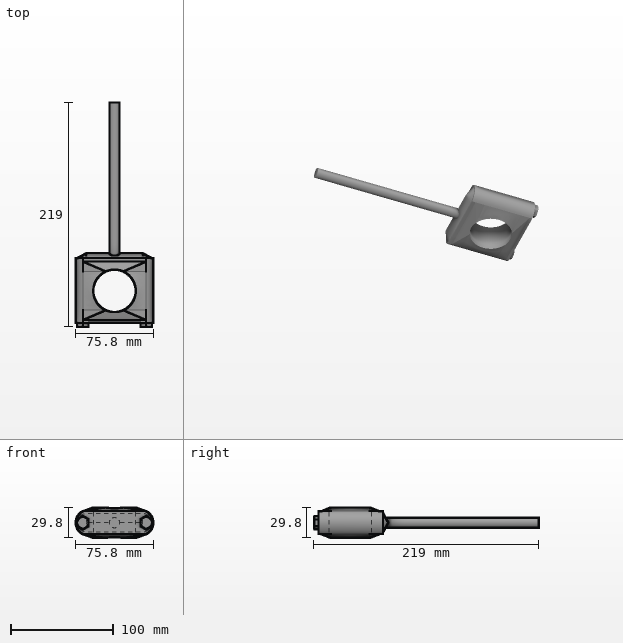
import cadquery as cq
import math

block_width = 75.8
block_length = 62.2
block_height = 22.3
flat_width = 61.8
hole_radius = 20.5

overall_height = 29.8
pad_length = 57.0
rim_corner_y = 18.8

end_plate_thickness = 0.9
roof_rise = 5.0
roof_base_height = 18.5
ridge_length = 53.9

overall_length = 219.0
rod_radius = 5.0
bolt_spacing = 61.8
bolt_head_height = 4.2
bolt_across_flats = 11.5
bolt_chamfer_height = 0.5

half_width = block_width / 2
half_length = block_length / 2
half_height = block_height / 2
half_flat = flat_width / 2
half_pad = pad_length / 2
roof_base_y = half_length + end_plate_thickness
rim_corner_x = math.sqrt(hole_radius**2 - rim_corner_y**2)


def extruded_outline(start_y, end_y):
    """The flat-topped, round-sided block section, extruded along Y."""
    return (
        cq.Workplane("XZ", origin=(0, start_y, 0))
        .moveTo(-half_flat, -half_height)
        .lineTo(half_flat, -half_height)
        .threePointArc((half_width, 0), (half_flat, half_height))
        .lineTo(-half_flat, half_height)
        .threePointArc((-half_width, 0), (-half_flat, -half_height))
        .close()
        .extrude(start_y - end_y)
    )


def planar_face(points):
    return cq.Face.makeFromWires(cq.Wire.makePolygon(points, close=True))


def make_pad():
    """Top pad blending from a rectangular foot to the round rim of the hole."""
    foot_z = half_height
    rim_z = overall_height / 2

    foot = [(-half_flat, -half_pad), (half_flat, -half_pad), (half_flat, half_pad), (-half_flat, half_pad)]
    faces = [planar_face([cq.Vector(x, y, foot_z) for x, y in foot])]
    rim_edges = []

    for side in (-1, 1):
        end_corners = [
            cq.Vector(-half_flat, side * half_pad, foot_z),
            cq.Vector(half_flat, side * half_pad, foot_z),
            cq.Vector(rim_corner_x, side * rim_corner_y, rim_z),
            cq.Vector(-rim_corner_x, side * rim_corner_y, rim_z),
        ]
        faces.append(planar_face(end_corners))
        rim_edges.append(cq.Edge.makeLine(end_corners[2], end_corners[3]))

        foot_edge = cq.Edge.makeLine(
            cq.Vector(side * half_flat, -rim_corner_y, foot_z),
            cq.Vector(side * half_flat, rim_corner_y, foot_z),
        )
        rim_arc = cq.Edge.makeThreePointArc(
            cq.Vector(side * rim_corner_x, -rim_corner_y, rim_z),
            cq.Vector(side * hole_radius, 0, rim_z),
            cq.Vector(side * rim_corner_x, rim_corner_y, rim_z),
        )
        faces.append(cq.Face.makeRuledSurface(foot_edge, rim_arc))
        rim_edges.append(rim_arc)

        for end in (-1, 1):
            triangle = [
                cq.Vector(side * half_flat, end * half_pad, foot_z),
                cq.Vector(side * half_flat, end * rim_corner_y, foot_z),
                cq.Vector(side * rim_corner_x, end * rim_corner_y, rim_z),
            ]
            faces.append(planar_face(triangle))

    faces.append(cq.Face.makeFromWires(cq.Wire.assembleEdges(rim_edges)))
    pad = cq.Solid.makeSolid(cq.Shell.makeShell(faces)).fix()
    return cq.Workplane(obj=pad)


def make_roof():
    """Ridged roof on the +Y end plate, closed by a half cone at each end of the ridge."""
    base_radius = roof_base_height / 2
    ridge_y = roof_base_y + roof_rise
    roof = (
        cq.Workplane("YZ")
        .polyline([(roof_base_y, -base_radius), (ridge_y, 0), (roof_base_y, base_radius)])
        .close()
        .extrude(ridge_length / 2, both=True)
    )
    for ridge_x in (-ridge_length / 2, ridge_length / 2):
        base_center = cq.Vector(ridge_x, roof_base_y, 0)
        cone = cq.Solid.makeCone(base_radius, 0, roof_rise, base_center, cq.Vector(0, 1, 0))
        roof = roof.union(cq.Workplane(obj=cone))
    return roof


def make_rod():
    rod_end_y = overall_length - half_length - bolt_head_height
    return (
        cq.Workplane("XZ", origin=(0, roof_base_y, 0))
        .circle(rod_radius)
        .extrude(roof_base_y - rod_end_y)
    )


def make_bolt_head(center_x):
    """Hexagonal head with chamfered corners and two flats facing the block sides."""
    corner_radius = bolt_across_flats / math.sqrt(3)
    angles = [math.radians(30 + 60 * corner) for corner in range(6)]
    hexagon = [(corner_radius * math.cos(a), corner_radius * math.sin(a)) for a in angles]
    seat = cq.Workplane("XZ", origin=(center_x, -half_length, 0))
    hex_head = seat.polyline(hexagon).close().extrude(bolt_head_height)
    chamfer_width = corner_radius - bolt_across_flats / 2
    chamfered_disc = (
        seat.circle(corner_radius)
        .extrude(bolt_head_height)
        .faces("<Y")
        .chamfer(bolt_chamfer_height, chamfer_width)
    )
    return hex_head.intersect(chamfered_disc)


top_pad = make_pad()
hole = cq.Workplane("XY").circle(hole_radius).extrude(overall_height, both=True)
clamp = extruded_outline(-half_length, roof_base_y).union(top_pad).union(top_pad.mirror("XY")).cut(hole)

result = clamp.union(make_roof()).union(make_rod())
for bolt_x in (-bolt_spacing / 2, bolt_spacing / 2):
    result = result.union(make_bolt_head(bolt_x))